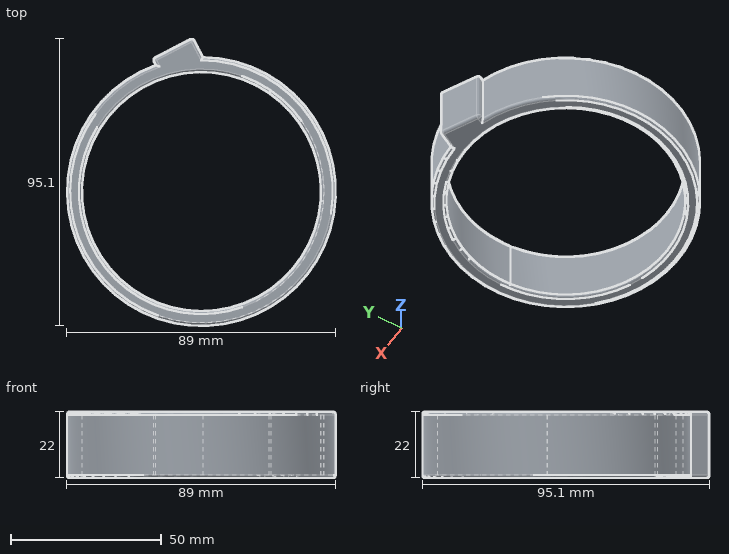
import cadquery as cq
import math

ring_outer_diameter = 89.0
ring_inner_diameter = 79.05
ring_height = 22.0
edge_radius = 1.0

tab_angle = 27.5
tab_start = 5.9
tab_width = 15.1
tab_reach = 46.5

insert_start_angle = -4.5
insert_span = 60
insert_thickness = 1.0

ring_outer_radius = ring_outer_diameter / 2
ring_inner_radius = ring_inner_diameter / 2
insert_height = ring_height - 2 * edge_radius


def make_tab():
    wall_middle = (ring_inner_radius + ring_outer_radius) / 2
    root = math.sqrt(wall_middle**2 - (tab_start + tab_width) ** 2)
    return (
        cq.Workplane("XY")
        .center(tab_start, root)
        .rect(tab_width, tab_reach - root, centered=False)
        .extrude(ring_height)
        .edges("|Z and >Y")
        .fillet(edge_radius)
        .rotate((0, 0, 0), (0, 0, 1), tab_angle)
    )


def make_bore_cutter():
    """Core that leaves the bore of the ring with both rims rounded outward."""
    rim_radius = ring_inner_radius + edge_radius
    sag = edge_radius * (1 - math.sqrt(0.5))
    return (
        cq.Workplane("XZ")
        .lineTo(rim_radius, 0)
        .threePointArc((ring_inner_radius + sag, sag), (ring_inner_radius, edge_radius))
        .lineTo(ring_inner_radius, ring_height - edge_radius)
        .threePointArc((ring_inner_radius + sag, ring_height - sag), (rim_radius, ring_height))
        .lineTo(0, ring_height)
        .close()
        .revolve(360, (0, 0), (0, 1))
    )


def make_insert():
    return (
        cq.Workplane("XZ")
        .center(ring_inner_radius, edge_radius)
        .rect(insert_thickness, insert_height, centered=False)
        .revolve(insert_span, (-ring_inner_radius, 0), (-ring_inner_radius, 1))
        .rotate((0, 0, 0), (0, 0, 1), insert_start_angle)
    )


def make_ring(insert):
    disc = cq.Workplane("XY").circle(ring_outer_radius).extrude(ring_height)
    rounded = disc.union(make_tab()).faces("<Z or >Z").edges().fillet(edge_radius)
    return rounded.cut(make_bore_cutter()).cut(insert).solids()


insert = make_insert()
ring = make_ring(insert)

result = cq.Compound.makeCompound([ring.val(), insert.val()])